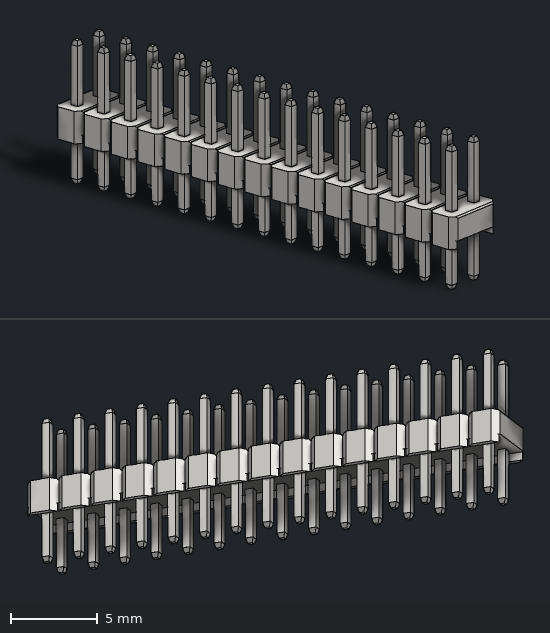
import cadquery as cq

PITCH = 2.0
COLUMNS = 15
ROWS = 2

BODY_HEIGHT = 2.0
CORNER_CUT = 0.4
TOP_EDGE_CUT = 0.1
CHANNEL_HEIGHT = 0.5
CHANNEL_WIDTH = 3.3

PIN_WIDTH = 0.5
PIN_ABOVE_BODY = 4.0
PIN_BELOW_BODY = 2.8
TIP_HEIGHT = 0.3
TIP_WIDTH = 0.3

BODY_LENGTH = COLUMNS * PITCH
BODY_WIDTH = ROWS * PITCH


def centred_positions(count):
    """Positions one pitch apart, centred on zero."""
    return [(index - (count - 1) / 2) * PITCH for index in range(count)]


def make_cell(x):
    """One octagonal body cell with bevelled end edges on top."""
    cell = cq.Workplane("XY").box(PITCH, BODY_WIDTH, BODY_HEIGHT, centered=(True, True, False))
    cell = cell.edges("|Z").chamfer(CORNER_CUT)
    half_pitch = PITCH / 2
    shoulder = BODY_HEIGHT - TOP_EDGE_CUT
    profile = (
        cq.Workplane("XZ")
        .moveTo(-half_pitch, 0)
        .lineTo(half_pitch, 0)
        .lineTo(half_pitch, shoulder)
        .lineTo(half_pitch - TOP_EDGE_CUT, BODY_HEIGHT)
        .lineTo(-half_pitch + TOP_EDGE_CUT, BODY_HEIGHT)
        .lineTo(-half_pitch, shoulder)
        .close()
        .extrude(BODY_WIDTH / 2, both=True)
    )
    return cell.intersect(profile).translate((x, 0, 0))


def make_body():
    """All cells joined in a row, with the channel cut along the underside."""
    body = cq.Workplane("XY")
    for x in centred_positions(COLUMNS):
        body = body.union(make_cell(x))
    channel = cq.Workplane("XY").box(
        BODY_LENGTH, CHANNEL_WIDTH, CHANNEL_HEIGHT, centered=(True, True, False)
    )
    return body.cut(channel)


def make_tip():
    """Pyramid frustum standing on the XY plane."""
    return (
        cq.Workplane("XY")
        .rect(PIN_WIDTH, PIN_WIDTH)
        .workplane(offset=TIP_HEIGHT)
        .rect(TIP_WIDTH, TIP_WIDTH)
        .loft()
    )


def make_pin():
    """Square pin through the body, tapered at both ends."""
    shank_bottom = -PIN_BELOW_BODY + TIP_HEIGHT
    shank_top = BODY_HEIGHT + PIN_ABOVE_BODY - TIP_HEIGHT
    shank = (
        cq.Workplane("XY")
        .workplane(offset=shank_bottom)
        .rect(PIN_WIDTH, PIN_WIDTH)
        .extrude(shank_top - shank_bottom)
    )
    upper_tip = make_tip().translate((0, 0, shank_top))
    lower_tip = make_tip().mirror("XY").translate((0, 0, shank_bottom))
    return shank.union(upper_tip).union(lower_tip)


def make_header():
    """Body with one pin at every grid position."""
    header = make_body()
    pin = make_pin()
    for x in centred_positions(COLUMNS):
        for y in centred_positions(ROWS):
            header = header.union(pin.translate((x, y, 0)))
    return header


result = make_header()